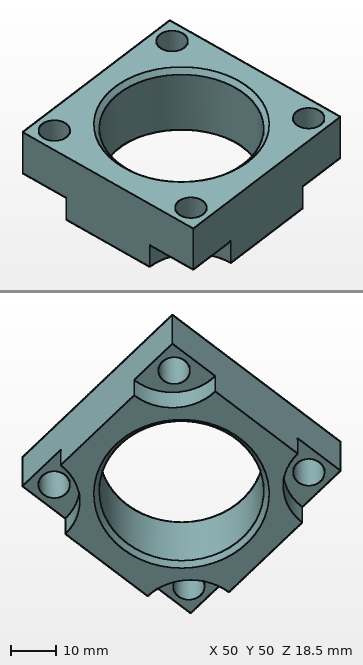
import cadquery as cq

side = 50.0
height = 18.5

bore_diameter = 36.5
bore_chamfer = 1.2

hole_diameter = 7.0
hole_spacing = 40.0

relief_radius = 12.75
relief_height = 6.4


def corner_cylinders(spacing, radius, depth):
    """Four cylinders rising from the base plane at the corners of a square."""
    return cq.Workplane("XY").rect(spacing, spacing, forConstruction=True).vertices().circle(radius).extrude(depth)


def bore_cutter():
    """Bore cylinder flared at the top and bottom faces."""
    radius = bore_diameter / 2
    mouth_radius = radius + bore_chamfer
    profile = [
        (0, 0),
        (mouth_radius, 0),
        (radius, bore_chamfer),
        (radius, height - bore_chamfer),
        (mouth_radius, height),
        (0, height),
    ]
    return cq.Workplane("XZ").polyline(profile).close().revolve(360, (0, 0), (0, 1))


block = cq.Workplane("XY").box(side, side, height, centered=(True, True, False))
bolt_holes = corner_cylinders(hole_spacing, hole_diameter / 2, height)
corner_reliefs = corner_cylinders(side, relief_radius, relief_height)

result = block.cut(bore_cutter()).cut(bolt_holes).cut(corner_reliefs)